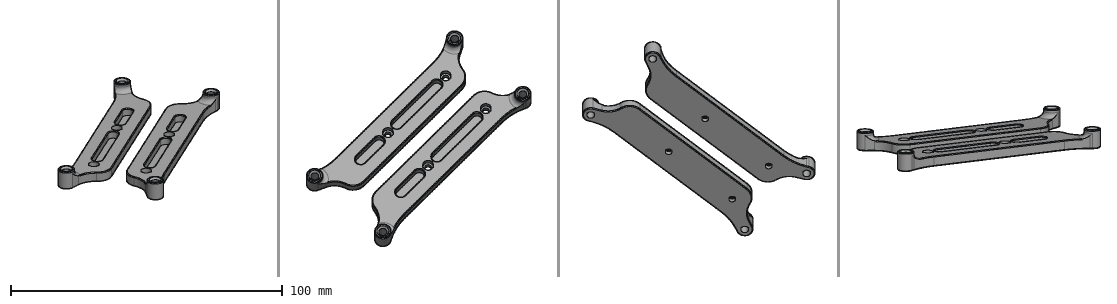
import cadquery as cq
import math

total_length = 82.6
total_width = 40.1
total_height = 7.0
boss_diameter = 6.1
boss_radius = boss_diameter / 2
boss_x = (total_width - boss_diameter) / 2
boss_y = (total_length - boss_diameter) / 2

plate_thickness = 3.9
outer_edge_x = 17.2
inner_edge_x = 2.9
straight_half_length = 26.7
edge_chamfer = 0.3

arm_angle = 25.6
shoulder_angle = 77.0
corner_radius = 5.5
hollow_radius = 8.3

flare_radius = 2.0
boss_hole_diameter = 2.9
boss_mouth_diameter = 4.4

hole_line_x = 10.0
screw_hole_diameter = 2.4
screw_head_diameter = 4.0
screw_head_depth = 2.0
screw_hole_ys = [5.9, -25.7]
slot_width = 4.0
slot_chamfer = 0.3
slot_floor = 1.0
slot_hole_gap = 2.9
slot_top_y = 22.7
slot_spans = [
    (screw_hole_ys[0] + slot_hole_gap, slot_top_y),
    (screw_hole_ys[1] + slot_hole_gap, screw_hole_ys[0] - slot_hole_gap),
]


def lean(degrees):
    """Unit vector that leans from -Y toward +X by the given angle."""
    angle = math.radians(degrees)
    return math.sin(angle), -math.cos(angle)


def step(start, direction, length):
    return start[0] + direction[0] * length, start[1] + direction[1] * length


def along_arc(start, radius, start_lean, end_lean):
    """Point on an arc whose tangent turns from one lean to another; a negative radius runs backward."""
    chord = 2 * radius * math.sin(math.radians(abs(end_lean - start_lean) / 2))
    return step(start, lean((start_lean + end_lean) / 2), chord)


def half_outline():
    """Upper half of the left bracket's outline (y >= 0)."""
    boss = (-boss_x, boss_y)
    along = lean(arm_angle)
    across = (-along[1], along[0])
    inner_tangent = step(boss, across, boss_radius)
    outer_tangent = step(boss, across, -boss_radius)
    boss_tip = step(boss, along, -boss_radius)

    corner_y = outer_tangent[1] + along[1] * (-outer_edge_x - outer_tangent[0]) / along[0]
    tangent_length = corner_y - straight_half_length
    flank_radius = tangent_length / math.tan(math.radians(arm_angle / 2))
    flank_start = step((-outer_edge_x, corner_y), along, -tangent_length)
    flank_middle = along_arc(flank_start, flank_radius, arm_angle, arm_angle / 2)

    corner_end = (-inner_edge_x, straight_half_length)
    corner_start = along_arc(corner_end, -corner_radius, 0, shoulder_angle)
    corner_middle = along_arc(corner_end, -corner_radius, 0, shoulder_angle / 2)

    middle_lean = (arm_angle + shoulder_angle) / 2
    hollow_start = along_arc(corner_start, -hollow_radius, shoulder_angle, arm_angle)
    hollow_middle = along_arc(corner_start, -hollow_radius, shoulder_angle, middle_lean)

    return (
        cq.Workplane("XY")
        .moveTo(-outer_edge_x, 0)
        .lineTo(-outer_edge_x, straight_half_length)
        .threePointArc(flank_middle, flank_start)
        .lineTo(*outer_tangent)
        .threePointArc(boss_tip, inner_tangent)
        .lineTo(*hollow_start)
        .threePointArc(hollow_middle, corner_start)
        .threePointArc(corner_middle, corner_end)
        .lineTo(-inner_edge_x, 0)
        .close()
    )


def plate_clearance():
    """Space above the plate and its flare: a half ring around the upper boss, on the plate's side of it."""
    flare_mid = flare_radius * (1 - math.sqrt(0.5))
    return (
        cq.Workplane("XZ")
        .moveTo(boss_radius, total_height)
        .lineTo(boss_radius, plate_thickness + flare_radius)
        .threePointArc(
            (boss_radius + flare_mid, plate_thickness + flare_mid),
            (boss_radius + flare_radius, plate_thickness),
        )
        .lineTo(total_length, plate_thickness)
        .lineTo(total_length, total_height)
        .close()
        .revolve(180, (0, 0, 0), (0, 1, 0))
        .rotate((0, 0, 0), (0, 0, 1), arm_angle + 180)
        .translate((-boss_x, boss_y, 0))
    )


def flared_boss():
    """Boss at the upper end with its flare, cut off where the flare runs out on the plate."""
    reach = (
        cq.Workplane("XY", origin=(-boss_x, boss_y, 0))
        .circle(boss_radius + flare_radius)
        .extrude(total_height)
    )
    return half_outline().extrude(total_height).cut(plate_clearance()).intersect(reach)


def plate():
    """Full-length plate with a chamfered top edge."""
    upper = half_outline().extrude(plate_thickness)
    return upper.union(upper.mirror("XZ")).clean().faces(">Z").edges().chamfer(edge_chamfer)


def slot_cutter(y_low, y_high):
    """Blind slot with a chamfered rim."""
    length = y_high - y_low
    middle = (-hole_line_x, (y_low + y_high) / 2)
    pocket = (
        cq.Workplane("XY", origin=(*middle, slot_floor))
        .slot2D(length, slot_width, 90)
        .extrude(plate_thickness - slot_floor)
    )
    rim = (
        cq.Workplane("XY", origin=(*middle, plate_thickness))
        .slot2D(length + 2 * slot_chamfer, slot_width + 2 * slot_chamfer, 90)
        .extrude(-slot_chamfer, taper=45)
    )
    return pocket.union(rim)


def boss_hole_cutter():
    """Through hole with a 45 degree lead-in at the boss's top face."""
    hole_radius = boss_hole_diameter / 2
    mouth_radius = boss_mouth_diameter / 2
    return (
        cq.Workplane("XZ")
        .lineTo(hole_radius, 0)
        .lineTo(hole_radius, total_height - (mouth_radius - hole_radius))
        .lineTo(mouth_radius, total_height)
        .lineTo(0, total_height)
        .close()
        .revolve(360, (0, 0, 0), (0, 1, 0))
    )


def screw_hole_cutter():
    """Through hole with a flat-bottomed recess for the screw head."""
    shank = cq.Workplane("XY").circle(screw_hole_diameter / 2).extrude(plate_thickness)
    head = (
        cq.Workplane("XY", origin=(0, 0, plate_thickness))
        .circle(screw_head_diameter / 2)
        .extrude(-screw_head_depth)
    )
    return shank.union(head)


def left_bracket():
    boss = flared_boss()
    body = plate().union(boss).union(boss.mirror("XZ")).clean()
    body = body.faces("<Z or >Z").edges().chamfer(edge_chamfer)
    for y in (boss_y, -boss_y):
        body = body.cut(boss_hole_cutter().translate((-boss_x, y, 0)))
    for y_low, y_high in slot_spans:
        body = body.cut(slot_cutter(y_low, y_high))
    for y in screw_hole_ys:
        body = body.cut(screw_hole_cutter().translate((-hole_line_x, y, 0)))
    return body


left = left_bracket()
right = left.mirror("YZ")
result = cq.Compound.makeCompound([left.val(), right.val()])